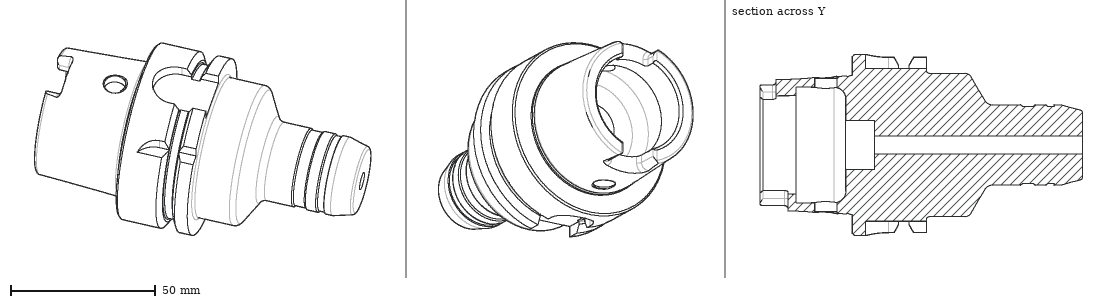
import cadquery as cq
import math

LENGTH = 112.0

SHANK_LENGTH = 32.0
TAPER_END_X = 29.9
TAPER_END_RADIUS = 48.0 / 2
TAPER_SLOPE = 0.05
NECK_RADIUS = 23.9
NECK_X = 30.6
SHOULDER_RADIUS = 24.2
SHOULDER_START_X = 31.2
END_FACE_ROUND = 1.0

FLANGE_RADIUS = 31.5
FLANGE_END_X = 57.9
FLANGE_CHAMFER = 0.7
GROOVE_CENTER_X = 50.0
GROOVE_RADIUS = 27.4
GROOVE_HALF_FLOOR = 1.8
GROOVE_HALF_MOUTH = 3.4
GROOVE_FILLET = 0.5
GROOVE_FLANK_ANGLE = 30.0

BODY_RADIUS = 25.0
BODY_ROOT_FILLET = 0.9
BODY_END_X = 71.2
CONE_ANGLE = 60.0
BODY_EDGE_ROUND = 2.4
NOSE_RADIUS = 14.0
NOSE_ROOT_FILLET = 3.0
NOSE_START_X = 80.8
NOSE_GROOVE_RADIUS = 27.0 / 2
NOSE_GROOVE_RAMP = 0.6
FIRST_GROOVE = (90.5, 95.5)
SECOND_GROOVE = (99.2, 102.1)
NOSE_TAPER_START_X = 104.6
NOSE_TAPER_ANGLE = 15.0
NOSE_END_ROUND = 1.0

MOUTH_RADIUS = 17.0
MOUTH_CHAMFER = 1.0
MOUTH_END_X = 12.5
CAVITY_RADIUS = 40.0 / 2
CAVITY_END_X = 29.8
CAVITY_FLOOR_FILLET = 4.0
COUNTERBORE_DIAMETER = 16.9
COUNTERBORE_DEPTH = 10.0
COOLANT_HOLE_DIAMETER = 6.2

NOTCH_HALF_WIDTH = 6.3
NOTCH_TOP_DEPTH = 5.6
NOTCH_BOTTOM_DEPTH = 9.7
NOTCH_EDGE_ROUND = 2.5
NOTCH_FLOOR_FILLET = 1.2

CROSS_HOLE_X = 22.8
CROSS_HOLE_DIAMETER = 7.5
CROSS_HOLE_MOUTH_DIAMETER = 8.6

KEYWAY_RADIUS = 8.0
KEYWAY_START_X = 36.7
KEYWAY_FLOOR_Z = 26.5
SIDE_NOTCH_OFFSET = 20.2

KEYWAY_CENTER_X = KEYWAY_START_X + KEYWAY_RADIUS


def taper_radius(x):
    return TAPER_END_RADIUS - (TAPER_END_X - x) * TAPER_SLOPE


def outer_body():
    flank_width = GROOVE_HALF_MOUTH - GROOVE_HALF_FLOOR
    flank_radius = FLANGE_RADIUS - flank_width / math.tan(math.radians(GROOVE_FLANK_ANGLE))
    groove_start = GROOVE_CENTER_X - GROOVE_HALF_FLOOR
    groove_end = GROOVE_CENTER_X + GROOVE_HALF_FLOOR

    cone = math.radians(CONE_ANGLE)
    body_round_x = BODY_END_X + BODY_EDGE_ROUND * math.sin(cone)
    body_round_r = BODY_RADIUS - BODY_EDGE_ROUND * (1 - math.cos(cone))
    nose_fillet_x = NOSE_START_X - NOSE_ROOT_FILLET * math.sin(cone)
    nose_fillet_r = NOSE_RADIUS + NOSE_ROOT_FILLET * (1 - math.cos(cone))
    nose_taper_length = LENGTH - NOSE_TAPER_START_X
    nose_end_radius = NOSE_RADIUS - nose_taper_length * math.tan(math.radians(NOSE_TAPER_ANGLE))

    profile = (
        cq.Workplane("XY")
        .moveTo(0, 0)
        .lineTo(0, taper_radius(0))
        .lineTo(TAPER_END_X, TAPER_END_RADIUS)
        .lineTo(NECK_X, NECK_RADIUS)
        .lineTo(SHOULDER_START_X, SHOULDER_RADIUS)
        .lineTo(SHANK_LENGTH, SHOULDER_RADIUS)
        .lineTo(SHANK_LENGTH, FLANGE_RADIUS - FLANGE_CHAMFER)
        .lineTo(SHANK_LENGTH + FLANGE_CHAMFER, FLANGE_RADIUS)
        .lineTo(GROOVE_CENTER_X - GROOVE_HALF_MOUTH, FLANGE_RADIUS)
        .lineTo(groove_start, flank_radius)
        .lineTo(groove_start, GROOVE_RADIUS + GROOVE_FILLET)
        .radiusArc((groove_start + GROOVE_FILLET, GROOVE_RADIUS), -GROOVE_FILLET)
        .lineTo(groove_end - GROOVE_FILLET, GROOVE_RADIUS)
        .radiusArc((groove_end, GROOVE_RADIUS + GROOVE_FILLET), -GROOVE_FILLET)
        .lineTo(groove_end, flank_radius)
        .lineTo(GROOVE_CENTER_X + GROOVE_HALF_MOUTH, FLANGE_RADIUS)
        .lineTo(FLANGE_END_X, FLANGE_RADIUS)
        .lineTo(FLANGE_END_X, BODY_RADIUS + BODY_ROOT_FILLET)
        .radiusArc((FLANGE_END_X + BODY_ROOT_FILLET, BODY_RADIUS), -BODY_ROOT_FILLET)
        .lineTo(BODY_END_X, BODY_RADIUS)
        .radiusArc((body_round_x, body_round_r), BODY_EDGE_ROUND)
        .lineTo(nose_fillet_x, nose_fillet_r)
        .radiusArc((NOSE_START_X, NOSE_RADIUS), -NOSE_ROOT_FILLET)
        .lineTo(FIRST_GROOVE[0], NOSE_RADIUS)
        .lineTo(FIRST_GROOVE[0] + NOSE_GROOVE_RAMP, NOSE_GROOVE_RADIUS)
        .lineTo(FIRST_GROOVE[1] - NOSE_GROOVE_RAMP, NOSE_GROOVE_RADIUS)
        .lineTo(FIRST_GROOVE[1], NOSE_RADIUS)
        .lineTo(SECOND_GROOVE[0], NOSE_RADIUS)
        .lineTo(SECOND_GROOVE[0] + NOSE_GROOVE_RAMP, NOSE_GROOVE_RADIUS)
        .lineTo(SECOND_GROOVE[1], NOSE_GROOVE_RADIUS)
        .lineTo(SECOND_GROOVE[1], NOSE_RADIUS)
        .lineTo(NOSE_TAPER_START_X, NOSE_RADIUS)
        .lineTo(LENGTH, nose_end_radius)
        .lineTo(LENGTH, 0)
        .close()
    )
    body = profile.revolve(360, (0, 0, 0), (1, 0, 0))
    body = body.faces("<X").edges().fillet(END_FACE_ROUND)
    return body.faces(">X").edges().fillet(NOSE_END_ROUND)


def inner_bore():
    cavity = (
        cq.Workplane("XY")
        .moveTo(0, 0)
        .lineTo(0, MOUTH_RADIUS + MOUTH_CHAMFER)
        .lineTo(MOUTH_CHAMFER, MOUTH_RADIUS)
        .lineTo(MOUTH_END_X, MOUTH_RADIUS)
        .lineTo(MOUTH_END_X, CAVITY_RADIUS)
        .lineTo(CAVITY_END_X, CAVITY_RADIUS)
        .lineTo(CAVITY_END_X, 0)
        .close()
        .revolve(360, (0, 0, 0), (1, 0, 0))
        .faces(">X").edges().fillet(CAVITY_FLOOR_FILLET)
    )
    floor = cq.Workplane("YZ", origin=(CAVITY_END_X, 0, 0))
    counterbore = floor.circle(COUNTERBORE_DIAMETER / 2).extrude(COUNTERBORE_DEPTH)
    coolant_hole = floor.circle(COOLANT_HOLE_DIAMETER / 2).extrude(LENGTH - CAVITY_END_X)
    return cavity.union(counterbore).union(coolant_hole)


def drive_notch(depth):
    """Notch open toward +Z whose walls roll over into the shank surface."""
    shank_radius = taper_radius(depth)
    round_y = NOTCH_HALF_WIDTH + NOTCH_EDGE_ROUND
    round_center_radius = shank_radius - NOTCH_EDGE_ROUND
    round_z = math.sqrt(round_center_radius**2 - round_y**2)
    roll_y = round_y * shank_radius / round_center_radius
    roll_z = round_z * shank_radius / round_center_radius
    exit_y = FLANGE_RADIUS
    exit_z = roll_z - (exit_y - roll_y) * round_y / round_z

    outline = (
        cq.Workplane("YZ")
        .moveTo(-NOTCH_HALF_WIDTH, 0)
        .lineTo(NOTCH_HALF_WIDTH, 0)
        .lineTo(NOTCH_HALF_WIDTH, round_z)
        .radiusArc((roll_y, roll_z), NOTCH_EDGE_ROUND)
        .lineTo(exit_y, exit_z)
        .lineTo(exit_y, FLANGE_RADIUS)
        .lineTo(-exit_y, FLANGE_RADIUS)
        .lineTo(-exit_y, exit_z)
        .lineTo(-roll_y, roll_z)
        .radiusArc((-NOTCH_HALF_WIDTH, round_z), NOTCH_EDGE_ROUND)
        .close()
    )
    notch = outline.extrude(depth).faces(">X").edges().fillet(NOTCH_FLOOR_FILLET)

    flare = (
        cq.Workplane("XY")
        .moveTo(0, NOTCH_HALF_WIDTH)
        .lineTo(0, NOTCH_HALF_WIDTH + END_FACE_ROUND)
        .radiusArc((END_FACE_ROUND, NOTCH_HALF_WIDTH), -END_FACE_ROUND)
        .close()
        .extrude(FLANGE_RADIUS)
    )
    return notch.union(flare).union(flare.mirror("XZ"))


def cross_hole():
    sink = (CROSS_HOLE_MOUTH_DIAMETER - CROSS_HOLE_DIAMETER) / 2
    surface_z = taper_radius(CROSS_HOLE_X)
    hole = (
        cq.Workplane("XY", origin=(CROSS_HOLE_X, 0, 0))
        .circle(CROSS_HOLE_DIAMETER / 2)
        .extrude(FLANGE_RADIUS, both=True)
    )
    mouth = (
        cq.Workplane("XY", origin=(CROSS_HOLE_X, 0, surface_z - sink))
        .circle(CROSS_HOLE_DIAMETER / 2)
        .workplane(offset=sink)
        .circle(CROSS_HOLE_MOUTH_DIAMETER / 2)
        .loft()
    )
    return hole.union(mouth).union(mouth.mirror("XY"))


def round_ended_slot(center_y, floor_z):
    """Slot from its round end to the flange end, open upward from its floor."""
    run = FLANGE_END_X - KEYWAY_CENTER_X
    floor = cq.Workplane("XY", origin=(KEYWAY_CENTER_X, center_y, floor_z))
    round_end = floor.circle(KEYWAY_RADIUS).extrude(FLANGE_RADIUS)
    straight_run = floor.center(run / 2, 0).rect(run, 2 * KEYWAY_RADIUS).extrude(FLANGE_RADIUS)
    return round_end.union(straight_run)


top_notch = drive_notch(NOTCH_TOP_DEPTH)
bottom_notch = drive_notch(NOTCH_BOTTOM_DEPTH).mirror("XY")
keyway = round_ended_slot(0, KEYWAY_FLOOR_Z)
side_notch = round_ended_slot(-SIDE_NOTCH_OFFSET - KEYWAY_RADIUS, SIDE_NOTCH_OFFSET)

result = (
    outer_body()
    .cut(inner_bore())
    .cut(top_notch)
    .cut(bottom_notch)
    .cut(cross_hole())
    .cut(keyway)
    .cut(keyway.mirror("XY"))
    .cut(side_notch)
)